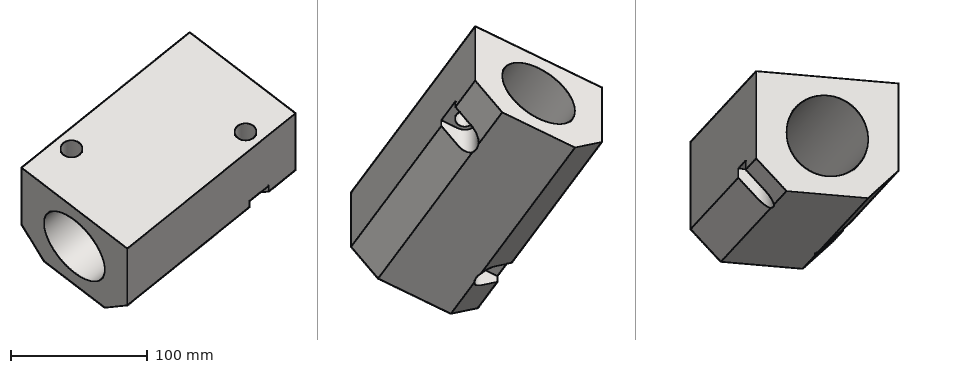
import cadquery as cq

width = 108.0
length = 176.0
height = 90.0
bore_diameter = 62.0
bore_height = height / 2
bottom_width = bore_diameter
corner_chamfer = (width - bottom_width) / 2

screw_x = 40.0
screw_y = 50.0
drill_diameter = 14.25
mouth_diameter = 16.0
mouth_depth = 2 * mouth_diameter

seat_width = 20.0
seat_height = 30.0


def make_block():
    """Block with two chamfered lower edges, centred in X and Y and standing on Z = 0."""
    block = cq.Workplane("XY").box(width, length, height, centered=(True, True, False))
    return block.faces("<Z").edges("|Y").chamfer(corner_chamfer)


def make_bore():
    """Cylinder through the whole length along Y."""
    return (
        cq.Workplane("XZ")
        .center(0, bore_height)
        .circle(bore_diameter / 2)
        .extrude(length / 2, both=True)
    )


def make_screw_hole():
    """Vertical drilled hole on the -X side with a wider mouth bored from the top face."""
    drill = cq.Workplane("XY").center(-screw_x, -screw_y).circle(drill_diameter / 2).extrude(height)
    mouth = (
        cq.Workplane("XY", origin=(-screw_x, -screw_y, height))
        .circle(mouth_diameter / 2)
        .extrude(-mouth_depth)
    )
    return drill.union(mouth)


def make_screw_seat():
    """U-shaped pocket around the screw hole, running out through the -X side."""
    radius = seat_width / 2
    return (
        cq.Workplane("XY")
        .moveTo(-width / 2, -screw_y - radius)
        .lineTo(-screw_x, -screw_y - radius)
        .threePointArc((-screw_x + radius, -screw_y), (-screw_x, -screw_y + radius))
        .lineTo(-width / 2, -screw_y + radius)
        .close()
        .extrude(seat_height)
    )


result = make_block().cut(make_bore())
screw_cut = make_screw_hole().union(make_screw_seat())
for angle in (0, 180):
    result = result.cut(screw_cut.rotate((0, 0, 0), (0, 0, 1), angle))